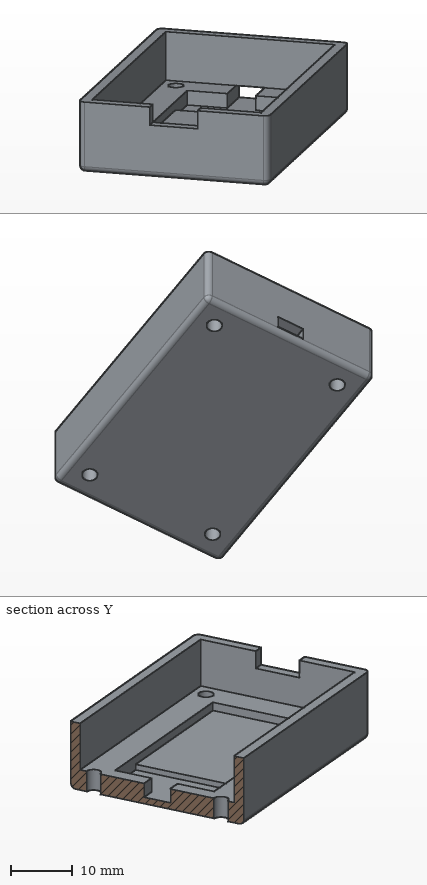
import cadquery as cq

width = 32.0
length = 46.45
height = 11.75
wall = 1.8
edge_radius = 0.98

ledge_z = 3.6
pocket_z = 1.2
raised_floor_z = 2.2

pocket_width = 18.25
pocket_length = 32.7
raised_floor_end_y = 9.48

channel_width = 4.8

notch_width = 8.05
notch_depth = 3.0

hole_diameter = 2.5
hole_spacing_x = 23.5
hole_spacing_y = 37.55


def block(size_x, y_start, y_end, z_start, z_end):
    """Box centred on X = 0, spanning the given Y and Z ranges."""
    return (
        cq.Workplane("XY")
        .box(size_x, y_end - y_start, z_end - z_start, centered=(True, False, False))
        .translate((0, y_start, z_start))
    )


def rounded_body():
    body = block(width, -length / 2, length / 2, 0, height)
    return body.edges("|Z or <Z").fillet(edge_radius)


def main_cavity():
    inner_end = length / 2 - wall
    return block(width - 2 * wall, -inner_end, inner_end, ledge_z, height)


def stepped_pocket():
    pocket_end = pocket_length / 2
    shallow = block(pocket_width, -pocket_end, raised_floor_end_y, raised_floor_z, ledge_z)
    deep = block(pocket_width, raised_floor_end_y, pocket_end, pocket_z, ledge_z)
    return shallow.union(deep)


def cable_channel():
    return block(channel_width, pocket_length / 2, length / 2, pocket_z, ledge_z)


def rim_notch():
    return block(notch_width, -length / 2, wall - length / 2, height - notch_depth, height)


def screw_holes():
    return (
        cq.Workplane("XY")
        .rarray(hole_spacing_x, hole_spacing_y, 2, 2)
        .circle(hole_diameter / 2)
        .extrude(height)
    )


result = (
    rounded_body()
    .cut(main_cavity())
    .cut(stepped_pocket())
    .cut(cable_channel())
    .cut(rim_notch())
    .cut(screw_holes())
)